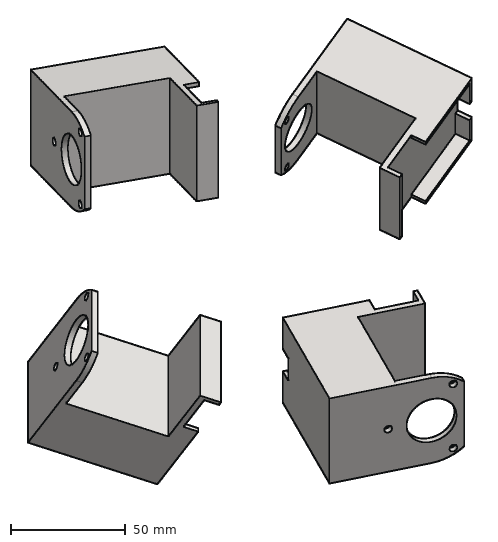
import cadquery as cq
import math

length = 62.0
depth = 63.0
height = 46.0

body_length = 31.1
plate_thickness = 3.0

tray_depth = 7.2
tray_wall = 2.0
tray_floor_y = depth - tray_depth
side_notch_height = 12.0
top_notch_start = 39.9

bore_x = 47.0
bore_diameter = 22.95
bolt_circle_radius = 20.0
bolt_hole_diameter = 3.5
bolt_angles = (-60, 60, 180)


def box(x_start, x_end, y_start, y_end, box_height):
    """Box between the given X and Y limits, centred on Z = 0."""
    return (
        cq.Workplane("XY")
        .box(x_end - x_start, y_end - y_start, box_height, centered=(False, False, True))
        .translate((x_start, y_start, 0))
    )


def front_plate():
    """Plate whose +X corners follow an arc concentric with the bore."""
    radius = height / 2
    end_z = math.sqrt(radius**2 - (length - bore_x) ** 2)
    arc_angle = math.asin(end_z / radius)
    middle_angle = (arc_angle + math.pi / 2) / 2
    middle_x = bore_x + radius * math.cos(middle_angle)
    middle_z = radius * math.sin(middle_angle)
    return (
        cq.Workplane("XZ")
        .moveTo(0, -radius)
        .lineTo(bore_x, -radius)
        .threePointArc((middle_x, -middle_z), (length, -end_z))
        .lineTo(length, end_z)
        .threePointArc((middle_x, middle_z), (bore_x, radius))
        .lineTo(0, radius)
        .close()
        .extrude(-plate_thickness)
    )


def plate_hole(x, z, diameter):
    """Cylinder along Y, as deep as the front plate."""
    return cq.Workplane("XZ").center(x, z).circle(diameter / 2).extrude(-plate_thickness)


result = (
    box(0, body_length, 0, depth, height)
    .union(front_plate())
    .union(box(0, length, tray_floor_y - plate_thickness, depth, height))
)

tray_end = length - tray_wall
result = result.cut(box(tray_wall, tray_end, tray_floor_y, depth, height - 2 * tray_wall))

result = result.cut(box(top_notch_start, tray_end, tray_floor_y, depth, height))
result = result.cut(box(0, tray_wall, tray_floor_y, depth, side_notch_height))

result = result.cut(plate_hole(bore_x, 0, bore_diameter))
for angle in bolt_angles:
    bolt_x = bore_x + bolt_circle_radius * math.cos(math.radians(angle))
    bolt_z = bolt_circle_radius * math.sin(math.radians(angle))
    result = result.cut(plate_hole(bolt_x, bolt_z, bolt_hole_diameter))